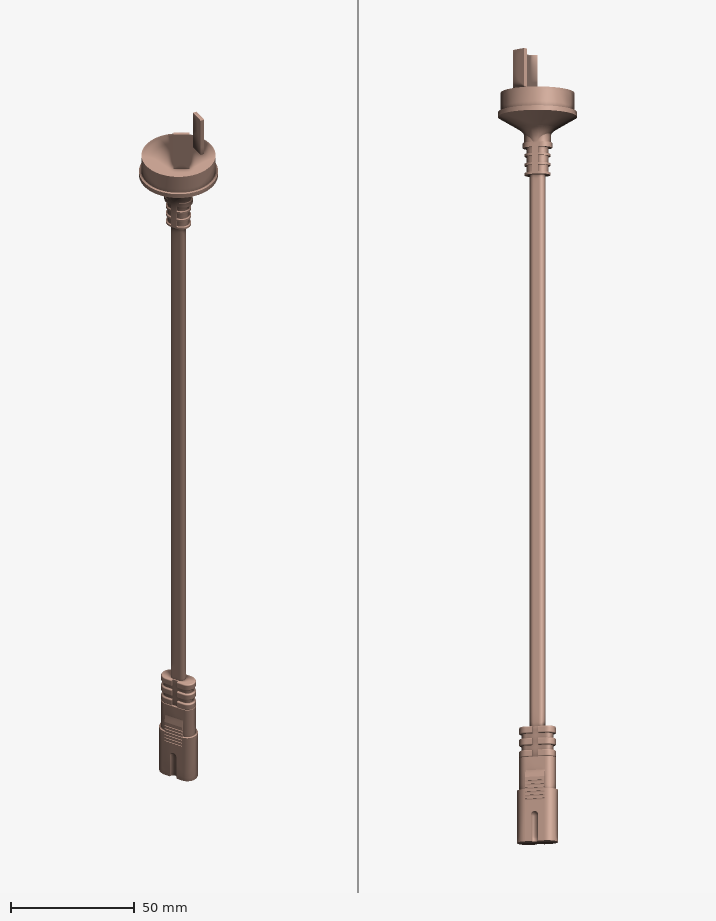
import cadquery as cq

total_height = 325.07
overlap = 0.5

cord_lobe_offset = 1.15
cord_radius = 2.05

pin_length = 17.1
disc_radius = 15.0
disc_height = 7.9
flange_radius = 16.0
flange_height = 1.9
face_z = total_height - pin_length
flange_top_z = face_z - disc_height
flange_bottom_z = flange_top_z - flange_height

pin_width = 6.3
pin_thickness = 1.6
pin_x = 5.4
pin_y = 6.86
pin_angle = 30.0

cone_end_radius = 8.0
cone_height = 4.8
neck_height = 10.8
neck_radius = 4.0
neck_lobe_offset = 1.5
neck_bottom_z = flange_bottom_z - neck_height

collar_height = 2.0
collar_radius = 3.95
collar_lobe_offset = 2.1
plug_lobe_offset = 1.35
plug_core_radius = 3.2
plug_rib_height = 0.9
plug_rib_pitch = 3.85
plug_rib_count = 3
bridge_width = 2.5
bridge_depth = 2 * collar_radius
plug_bottom_z = 274.2

connector_lobe_offset = 4.1
connector_radius = 4.3
connector_height = 21.5
connector_neck_radius = 3.5
connector_neck_top_z = 34.8
connector_top_z = 47.4

connector_core_radius = 2.5
connector_rib_height = 2.9
connector_rib_count = 3
connector_rib_round = 0.5
rib_split_width = 2.5
connector_rib_pitch = (
    connector_top_z - connector_neck_top_z - connector_rib_height
) / (connector_rib_count - 1)

grip_width = 2 * connector_lobe_offset
grip_top_z = 26.4
grip_ramp_height = 2.9
grip_groove_top_z = 25.0
grip_groove_depth = 0.4
grip_groove_height = 0.6
grip_groove_pitch = 1.5
grip_groove_count = 6

channel_radius = 1.5
channel_height = 12.2


def obround(lobe_offset, radius, bottom_z, height):
    """Upright prism with two round lobes centred at X = -lobe_offset and X = +lobe_offset."""
    return (
        cq.Workplane("XY", origin=(0, 0, bottom_z))
        .slot2D(2 * (lobe_offset + radius), 2 * radius)
        .extrude(height)
    )


def block(width, depth, height, centre_y, bottom_z):
    """Upright box centred on X = 0."""
    return (
        cq.Workplane("XY", origin=(0, centre_y, bottom_z))
        .rect(width, depth)
        .extrude(height)
    )


def plug_head():
    """Disc, flange and curved cone as one turned shape."""
    return (
        cq.Workplane("XZ")
        .moveTo(0, face_z)
        .lineTo(disc_radius, face_z)
        .lineTo(disc_radius, flange_top_z)
        .lineTo(flange_radius, flange_top_z)
        .lineTo(flange_radius, flange_bottom_z)
        .lineTo(cone_end_radius, flange_bottom_z - cone_height)
        .tangentArcPoint((neck_radius, neck_bottom_z), relative=False)
        .lineTo(0, neck_bottom_z)
        .close()
        .revolve(360, (0, 0, 0), (0, 1, 0))
    )


def plug_pin(side):
    """Flat pin on one side of the XZ plane; side is +1 or -1."""
    return (
        cq.Workplane("XY", origin=(pin_x, side * pin_y, face_z - overlap))
        .transformed(rotate=(0, 0, -side * pin_angle))
        .rect(pin_width, pin_thickness)
        .extrude(pin_length + overlap)
    )


def plug_strain_relief():
    """Collar, core and ribs, with a plain bridge running down the middle of both broad sides."""
    collar_bottom_z = neck_bottom_z - collar_height
    length = neck_bottom_z - plug_bottom_z
    relief = obround(neck_lobe_offset, collar_radius, neck_bottom_z, neck_height)
    relief = relief.union(obround(collar_lobe_offset, collar_radius, collar_bottom_z, collar_height))
    relief = relief.union(obround(plug_lobe_offset, plug_core_radius, plug_bottom_z, length))
    relief = relief.union(block(bridge_width, bridge_depth, length, 0, plug_bottom_z))
    for index in range(plug_rib_count):
        rib_z = plug_bottom_z + index * plug_rib_pitch
        relief = relief.union(obround(plug_lobe_offset, collar_radius, rib_z, plug_rib_height))
    return relief


def make_plug():
    plug = plug_head().union(plug_strain_relief())
    for side in (-1, 1):
        plug = plug.union(plug_pin(side))
    return plug


def connector_strain_relief():
    """Ribs around a thinner core, each rib split in the middle of both broad sides."""
    length = connector_top_z - connector_neck_top_z
    ribs = cq.Workplane("XY")
    for index in range(connector_rib_count):
        rib_z = connector_neck_top_z + index * connector_rib_pitch
        rib = obround(connector_lobe_offset, connector_neck_radius, rib_z, connector_rib_height)
        ribs = ribs.add(rib.faces("<Z or >Z").edges().fillet(connector_rib_round))
    split = block(rib_split_width, 2 * connector_radius, length, 0, connector_neck_top_z)
    core = obround(connector_lobe_offset, connector_core_radius, connector_neck_top_z, length)
    return ribs.combine().cut(split).union(core)


def grip_pad():
    """Slab as thick as the connector body, ramping down to the neck at its top."""
    ramp_top_z = grip_top_z + grip_ramp_height
    return (
        cq.Workplane("YZ", origin=(-grip_width / 2, 0, 0))
        .moveTo(-connector_radius, 0)
        .lineTo(-connector_radius, grip_top_z)
        .lineTo(-connector_neck_radius, ramp_top_z)
        .lineTo(connector_neck_radius, ramp_top_z)
        .lineTo(connector_radius, grip_top_z)
        .lineTo(connector_radius, 0)
        .close()
        .extrude(grip_width)
    )


def grip_grooves(side):
    """Row of finger-grip grooves on one broad face; side is +1 or -1."""
    grooves = cq.Workplane("XY")
    for index in range(grip_groove_count):
        groove_z = grip_groove_top_z - grip_groove_height - index * grip_groove_pitch
        groove = block(
            grip_width, 2 * grip_groove_depth, grip_groove_height, side * connector_radius, groove_z
        )
        grooves = grooves.add(groove)
    return grooves.combine()


def channel(side):
    """Half-round channel with a ball end, up from the bottom of one broad face; side is +1 or -1."""
    round_end_z = channel_height - channel_radius
    axis = cq.Workplane("XY", origin=(0, side * connector_radius, 0))
    round_end = axis.sphere(channel_radius).translate((0, 0, round_end_z))
    return axis.circle(channel_radius).extrude(round_end_z).union(round_end)


def make_connector():
    body = obround(connector_lobe_offset, connector_radius, 0, connector_height)
    neck = obround(connector_lobe_offset, connector_neck_radius, 0, connector_neck_top_z)
    connector = body.union(neck).union(grip_pad()).union(connector_strain_relief())
    for side in (-1, 1):
        connector = connector.cut(grip_grooves(side)).cut(channel(side))
    return connector


plug = make_plug()
connector = make_connector()
cord = obround(cord_lobe_offset, cord_radius, connector_top_z, plug_bottom_z - connector_top_z)

result = cq.Compound.makeCompound([plug.val(), cord.val(), connector.val()])